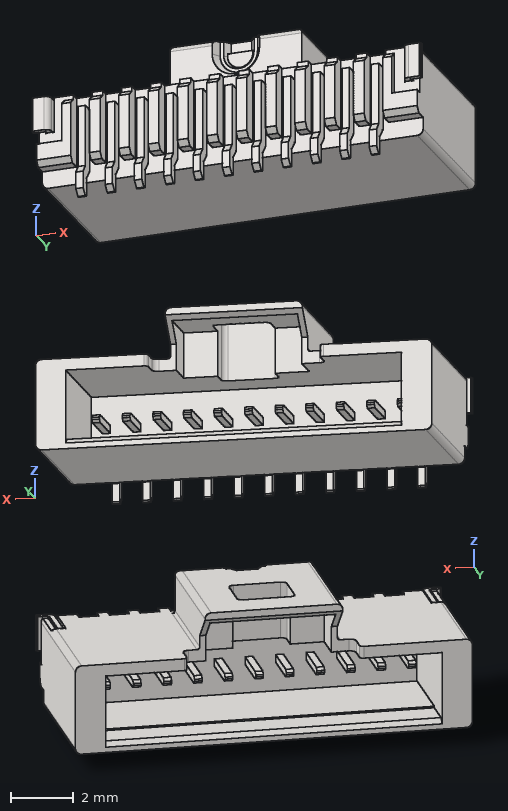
import cadquery as cq


housing_half_width = 6.49
mouth_y = 5.42
housing_bottom_z = 0.61
housing_top_z = 3.59
edge_radius = 0.2
wall = 0.4

base_front_y = 0.6
upper_front_y = 0.29
rib_front_y = 0.05
rib_bottom_z = 1.2
rib_bevel_bottom = (0.16, 0.2)
rib_bevel_top_z = 3.43
rib_bevel_top_height = 0.2
corner_inner_x = 5.63
corner_floor_z = 1.96

contact_count = 11
contact_row_length = 10.0
contact_pitch = contact_row_length / (contact_count - 1)
contact_width = 0.25
contact_slot_width = 0.64
contact_top_z = 3.12
contact_front_y = 0.21
lead_front_bend_z = (1.05, 0.77)
lead_back_bend_z = (0.98, 0.65)
foot_thickness = 0.32
foot_front_chamfer = 0.2
foot_back_chamfer = 0.05
pin_tip_y = 3.26
pin_tip_chamfer = 0.09

cavity_back_y = 1.65
cavity_half_width = 5.5
cavity_floor_z = housing_bottom_z + wall
cavity_roof_z = housing_top_z - wall
floor_step_y = 4.25
floor_step_depth = 0.05
mouth_chamfer = 0.16

tower_half_width = 2.25
tower_front_y = 0.89
tower_top_z = 5.07
tower_ceiling_z = tower_top_z - wall
tower_base_radius = 0.09
tower_slot_front_y = 3.54
tower_slot_half_width = 2.05
window_width = 1.88
window_front_y = 2.86
window_back_y = 4.35
window_radius = 0.17

relief_half_width = 2.82
relief_front_y = 4.61
relief_bend_z = 4.05
relief_top_z = 4.83
relief_corner_radius = 0.2
relief_mouth_radius = 0.12

gate_z = 4.58
gate_outer_radius = 0.81
gate_shelf_radius = 0.64
gate_inner_radius = 0.52
gate_end_radius = 0.35
gate_shelf_y = 1.17
gate_step_y = 1.28
gate_end_y = 1.4

clip_outer_x = 6.62
clip_inner_x = 6.02
clip_thickness = 0.19
clip_bottom_z = 2.4
clip_top_z = 3.55
clip_back_y = 1.54
clip_end_chamfer = 0.04
clip_slot_clearance = 0.05
clip_slot_back_y = clip_back_y + clip_slot_clearance
clip_ledge_depth = 0.07


def box(x_range, y_range, z_range):
    """Box spanning the given (low, high) ranges."""
    size = [high - low for low, high in (x_range, y_range, z_range)]
    corner = (x_range[0], y_range[0], z_range[0])
    return cq.Workplane("XY").box(*size, centered=False).translate(corner)


def side_profile(points, half_width):
    """Closed (Y, Z) outline extruded symmetrically about X = 0."""
    return cq.Workplane("YZ").polyline(points).close().extrude(half_width, both=True)


def both_ends(shape):
    """The shape together with its mirror image across X = 0."""
    return shape.union(shape.mirror("YZ"))


def contact_positions():
    first = -contact_row_length / 2
    return [first + i * contact_pitch for i in range(contact_count)]


def make_housing():
    bevel_y, bevel_z = rib_bevel_bottom
    outline = [
        (base_front_y, housing_bottom_z),
        (mouth_y, housing_bottom_z),
        (mouth_y, housing_top_z),
        (upper_front_y, housing_top_z),
        (upper_front_y, rib_bevel_top_z),
        (rib_front_y, rib_bevel_top_z - rib_bevel_top_height),
        (rib_front_y, rib_bottom_z + bevel_z),
        (rib_front_y + bevel_y, rib_bottom_z),
        (base_front_y, rib_bottom_z),
    ]
    housing = side_profile(outline, housing_half_width)
    housing = housing.faces("<Z or >Z").edges("|Y").fillet(edge_radius)
    corner_recess = box(
        (corner_inner_x, clip_outer_x), (0, upper_front_y), (corner_floor_z, housing_top_z)
    )
    return housing.cut(both_ends(corner_recess))


def make_tower():
    tower = box(
        (-tower_half_width, tower_half_width),
        (tower_front_y, mouth_y),
        (cavity_roof_z, tower_top_z),
    )
    tower = tower.faces(">Z").edges("|Y or <Y").fillet(edge_radius)
    corner_x = tower_half_width + tower_base_radius
    corner_z = housing_top_z + tower_base_radius
    flare = box(
        (tower_half_width, corner_x), (tower_front_y, mouth_y), (housing_top_z, corner_z)
    )
    rounding = (
        cq.Workplane("XZ", origin=(corner_x, 0, corner_z))
        .circle(tower_base_radius)
        .extrude(-mouth_y)
    )
    return tower.union(both_ends(flare.cut(rounding)))


def make_cavity():
    cavity = box(
        (-cavity_half_width, cavity_half_width),
        (cavity_back_y, mouth_y),
        (cavity_floor_z, cavity_roof_z),
    )
    lower_floor_z = cavity_floor_z - floor_step_depth
    mouth_floor = [
        (floor_step_y, cavity_floor_z),
        (floor_step_y, lower_floor_z),
        (mouth_y - mouth_chamfer, lower_floor_z),
        (mouth_y, lower_floor_z - mouth_chamfer),
        (mouth_y, cavity_floor_z),
    ]
    tower_slot = box(
        (-tower_slot_half_width, tower_slot_half_width),
        (tower_slot_front_y, mouth_y),
        (cavity_floor_z, tower_ceiling_z),
    )
    return cavity.union(side_profile(mouth_floor, cavity_half_width)).union(tower_slot)


def make_window():
    window = box(
        (-window_width / 2, window_width / 2),
        (window_front_y, window_back_y),
        (cavity_floor_z, tower_top_z),
    )
    return window.edges("|Z").fillet(window_radius)


def make_relief():
    """Cut that frees the mouth end of the tower and opens the housing roof beside it."""
    sloped = side_profile(
        [
            (relief_front_y, cavity_floor_z),
            (relief_front_y, relief_bend_z),
            (mouth_y, relief_top_z),
            (mouth_y, cavity_floor_z),
        ],
        relief_half_width,
    )
    plan = (
        cq.Workplane("XY", origin=(0, 0, cavity_floor_z))
        .moveTo(0, relief_front_y)
        .lineTo(relief_half_width - relief_corner_radius, relief_front_y)
        .radiusArc((relief_half_width, relief_front_y + relief_corner_radius), -relief_corner_radius)
        .lineTo(relief_half_width, mouth_y - relief_mouth_radius)
        .radiusArc((relief_half_width + relief_mouth_radius, mouth_y), relief_mouth_radius)
        .lineTo(0, mouth_y)
        .close()
        .extrude(housing_top_z - cavity_floor_z)
    )
    above_roof = box(
        (-relief_half_width, relief_half_width),
        (relief_front_y, mouth_y),
        (housing_top_z, relief_top_z),
    )
    return both_ends(plan).union(sloped.intersect(above_roof))


def gate_section(radius, y):
    """U-shaped outline, round at the bottom and open past the tower top."""
    open_z = tower_top_z + edge_radius
    return (
        cq.Workplane("XZ", origin=(0, y, 0))
        .moveTo(-radius, open_z)
        .lineTo(-radius, gate_z)
        .threePointArc((0, gate_z - radius), (radius, gate_z))
        .lineTo(radius, open_z)
        .close()
        .wires()
        .val()
    )


def gate_taper(front_radius, front_y, back_radius, back_y):
    sections = [gate_section(front_radius, front_y), gate_section(back_radius, back_y)]
    return cq.Workplane(cq.Solid.makeLoft(sections, True))


def make_gate():
    outer = gate_taper(gate_outer_radius, tower_front_y, gate_shelf_radius, gate_shelf_y)
    inner = gate_taper(gate_inner_radius, gate_shelf_y, gate_end_radius, gate_end_y)
    step = box(
        (-gate_inner_radius, gate_inner_radius),
        (gate_step_y, gate_end_y),
        (gate_z - gate_inner_radius, tower_ceiling_z),
    )
    return outer.union(inner.cut(step))


def make_contact_slot(x):
    return box(
        (x - contact_slot_width / 2, x + contact_slot_width / 2),
        (0, base_front_y),
        (housing_bottom_z, housing_top_z),
    )


def make_contact():
    """Contact centred on X = 0: soldering foot, upright and pin."""
    front_bend_top, front_bend_bottom = lead_front_bend_z
    back_bend_top, back_bend_bottom = lead_back_bend_z
    lead_outline = [
        (base_front_y, contact_top_z),
        (contact_front_y, contact_top_z),
        (contact_front_y, front_bend_top),
        (0, front_bend_bottom),
        (0, foot_front_chamfer),
        (foot_front_chamfer, 0),
        (foot_thickness - foot_back_chamfer, 0),
        (foot_thickness, foot_back_chamfer),
        (foot_thickness, back_bend_bottom),
        (base_front_y, back_bend_top),
    ]
    lead = side_profile(lead_outline, contact_width / 2)
    pin_z = (cavity_floor_z + cavity_roof_z) / 2
    pin = box(
        (-contact_width / 2, contact_width / 2),
        (base_front_y, pin_tip_y),
        (pin_z - contact_width / 2, pin_z + contact_width / 2),
    )
    pin = pin.faces(">Y").edges("|X").chamfer(pin_tip_chamfer)
    return lead.union(pin)


def make_clip_slot():
    """Shallow ledge at the end of the roof and the deep slot that holds the clip blade."""
    slot_inner_x = clip_inner_x - clip_slot_clearance
    slot_outer_x = clip_inner_x + clip_thickness + clip_slot_clearance
    y_range = (upper_front_y, clip_slot_back_y)
    slot = box((slot_inner_x, slot_outer_x), y_range, (clip_bottom_z, housing_top_z))
    ledge_z = housing_top_z - clip_ledge_depth
    ledge = box((slot_inner_x, housing_half_width), y_range, (ledge_z, housing_top_z))
    return slot.union(ledge)


def make_clip():
    """L-shaped strip: a blade in the slot and a flange turned outward at the front."""
    blade_outer_x = clip_inner_x + clip_thickness
    return (
        cq.Workplane("XY", origin=(0, 0, clip_bottom_z))
        .moveTo(blade_outer_x, 0)
        .lineTo(clip_outer_x - clip_end_chamfer, 0)
        .lineTo(clip_outer_x, clip_end_chamfer)
        .lineTo(clip_outer_x, clip_thickness - clip_end_chamfer)
        .lineTo(clip_outer_x - clip_end_chamfer, clip_thickness)
        .lineTo(blade_outer_x, clip_thickness)
        .lineTo(blade_outer_x, clip_back_y)
        .lineTo(clip_inner_x, clip_back_y)
        .lineTo(clip_inner_x, clip_thickness)
        .radiusArc((blade_outer_x, 0), -clip_thickness)
        .close()
        .extrude(clip_top_z - clip_bottom_z)
    )


result = make_housing().union(make_tower())
for opening in (make_cavity(), make_window(), make_relief(), make_gate()):
    result = result.cut(opening)

for x in contact_positions():
    result = result.cut(make_contact_slot(x))
contact = make_contact()
for x in contact_positions():
    result = result.union(contact.translate((x, 0, 0)))

result = result.cut(both_ends(make_clip_slot()))
result = result.union(both_ends(make_clip()))